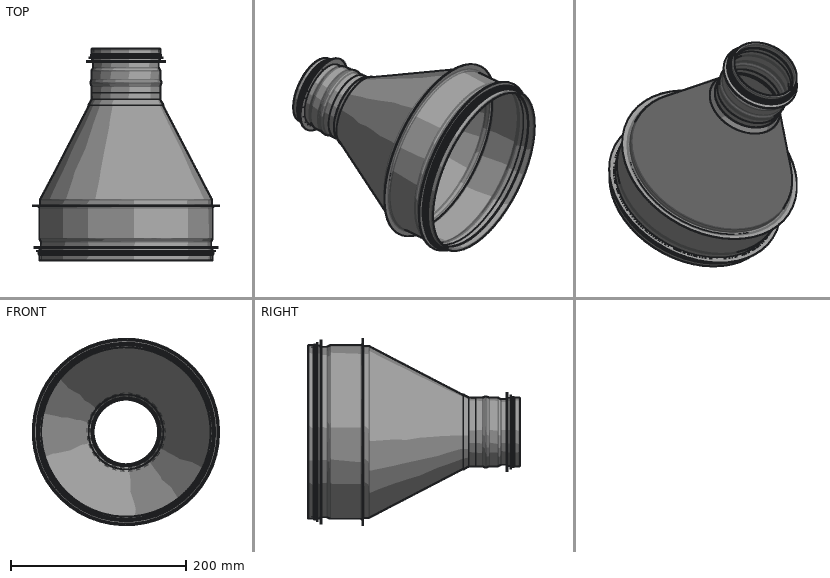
import cadquery as cq
import math


LENGTH = 242.5
WALL = 0.5
BEND = 1.7
LARGE_RADIUS = 199.0 / 2
SMALL_RADIUS = 79.0 / 2

GROOVE_DROP = 1.82
GROOVE_END = 22.0
GROOVE_RAMP_END = 25.2
HEM_RISE_START = 6.3
HEM_RISE_END = 8.0
HEM_END = 10.0
HEM_RISE = 1.0
HEM_STEP = 9.0

GASKET_BASE_DROP = 0.36
GASKET_END = 15.8
THIN_LIP_START = 10.5
THIN_LIP_END = 11.2
THIN_LIP_HEIGHT = 2.7
THICK_LIP_START = 14.3
THICK_LIP_HEIGHT = 5.22

SEAM_RADIUS = 213.5 / 2
SEAM_Y = 62.5
SEAM_BEND = 1.5

CONE_BASE_Y = 69.9
FLARE_END_Y = 177.5
FLARE_START_Y = 184.1
CONE_NECK_END_Y = 192.0
FLARE_RISE = 3.6

BEAD_Y = 203.3
BEAD_HALF_BASE = 4.0
BEAD_HALF_CREST = 0.7
BEAD_HEIGHT = 1.2

SKIRT_RADIUS = LARGE_RADIUS - 2 * WALL
NECK_RADIUS = SMALL_RADIUS - WALL


def revolve(profile):
    """Turn a closed (radius, Y) profile about the Y axis."""
    return profile.close().revolve(360, (0, 0, 0), (0, 1, 0))


def lines(profile, points):
    for point in points:
        profile = profile.lineTo(*point)
    return profile


def bent_line(profile, points):
    """Continue a profile from points[0] through the rest.

    A point is (radius, Y), or (radius, Y, bend radius) for a rounded corner.
    The first and last points are sharp.
    """
    for before, corner, after in zip(points, points[1:], points[2:]):
        if len(corner) == 2:
            profile = profile.lineTo(*corner)
            continue
        vertex = cq.Vector(*corner[:2])
        bend_radius = corner[2]
        backward = (cq.Vector(*before[:2]) - vertex).normalized()
        forward = (cq.Vector(*after[:2]) - vertex).normalized()
        half_angle = backward.getAngle(forward) / 2
        tangent_length = bend_radius / math.tan(half_angle)
        gap_to_arc = bend_radius / math.sin(half_angle) - bend_radius
        start = vertex + backward * tangent_length
        middle = vertex + (backward + forward).normalized() * gap_to_arc
        end = vertex + forward * tangent_length
        profile = profile.lineTo(start.x, start.y)
        profile = profile.threePointArc((middle.x, middle.y), (end.x, end.y))
    return profile.lineTo(*points[-1])


def make_collar(tube_radius, y_at, tail):
    """Sheet-metal collar with a hemmed end.

    y_at turns a depth from the end face into a Y position. tail lists the points of the far
    end, up the inside of the tube and back down its outside.
    """
    bore = tube_radius - WALL
    groove = tube_radius - GROOVE_DROP
    groove_bore = groove - WALL
    hem_bore = groove_bore - WALL
    raised = tube_radius + HEM_RISE
    fold_middle = (tube_radius + hem_bore) / 2
    fold_depth = (tube_radius - hem_bore) / 2
    hidden_step = HEM_STEP - WALL

    profile = cq.Workplane("XY").moveTo(groove, y_at(hidden_step))
    profile = lines(profile, [(groove_bore, y_at(hidden_step)), (groove_bore, y_at(fold_depth))])
    profile = profile.threePointArc((fold_middle, y_at(WALL)), (bore, y_at(fold_depth)))
    profile = lines(profile, [
        (bore, y_at(HEM_RISE_START)),
        (raised - WALL, y_at(HEM_RISE_END)),
        (raised - WALL, y_at(HEM_END)),
        (raised, y_at(HEM_END)),
        (raised, y_at(HEM_RISE_END)),
        (tube_radius, y_at(HEM_RISE_START)),
        (tube_radius, y_at(fold_depth)),
    ])
    profile = profile.threePointArc((fold_middle, y_at(0)), (hem_bore, y_at(fold_depth)))
    return revolve(bent_line(profile, [
        (hem_bore, y_at(fold_depth)),
        (hem_bore, y_at(HEM_STEP)),
        (groove_bore, y_at(HEM_STEP)),
        (groove_bore, y_at(GROOVE_END), BEND),
        (bore, y_at(GROOVE_RAMP_END), BEND),
        *tail,
        (tube_radius, y_at(GROOVE_RAMP_END), BEND),
        (groove, y_at(GROOVE_END), BEND),
        (groove, y_at(hidden_step)),
    ]))


def make_gasket(tube_radius, y_at):
    groove = tube_radius - GROOVE_DROP
    base = tube_radius - GASKET_BASE_DROP
    foot = tube_radius + HEM_RISE - WALL
    thin_lip = tube_radius + THIN_LIP_HEIGHT
    thick_lip = tube_radius + THICK_LIP_HEIGHT
    foot_start = HEM_STEP - WALL
    profile = cq.Workplane("XY").moveTo(groove, y_at(foot_start))
    return revolve(lines(profile, [
        (foot, y_at(foot_start)),
        (foot, y_at(THIN_LIP_START)),
        (thin_lip, y_at(THIN_LIP_START)),
        (thin_lip, y_at(THIN_LIP_END)),
        (base, y_at(THIN_LIP_END)),
        (base, y_at(THICK_LIP_START)),
        (thick_lip, y_at(THICK_LIP_START)),
        (thick_lip, y_at(GASKET_END)),
        (groove, y_at(GASKET_END)),
    ]))


def make_large_collar(y_at):
    """Large tube with an outward flange at the seam."""
    outer_face = SEAM_Y - WALL
    return make_collar(LARGE_RADIUS, y_at, [
        (LARGE_RADIUS - WALL, SEAM_Y, SEAM_BEND + WALL),
        (SEAM_RADIUS, SEAM_Y),
        (SEAM_RADIUS, outer_face),
        (LARGE_RADIUS, outer_face, SEAM_BEND),
    ])


def make_small_collar(y_at):
    """Small tube with a rolled bead and a flare over the top of the cone."""
    tube_line = [
        (0, BEAD_Y + BEAD_HALF_BASE, BEND),
        (BEAD_HEIGHT, BEAD_Y + BEAD_HALF_CREST, BEND),
        (BEAD_HEIGHT, BEAD_Y - BEAD_HALF_CREST, BEND),
        (0, BEAD_Y - BEAD_HALF_BASE, BEND),
        (0, FLARE_START_Y),
        (FLARE_RISE, FLARE_END_Y),
    ]
    inside = [(NECK_RADIUS + height, *rest) for height, *rest in tube_line]
    outside = [(SMALL_RADIUS + height, *rest) for height, *rest in reversed(tube_line)]
    return make_collar(SMALL_RADIUS, y_at, inside + outside)


def make_cone():
    """Cone with a flanged skirt at its base and a neck that enters the small collar."""
    outer_face = SEAM_Y + WALL
    skirt_bore = SKIRT_RADIUS - WALL
    neck_bore = NECK_RADIUS - WALL
    profile = cq.Workplane("XY").moveTo(SEAM_RADIUS, SEAM_Y)
    return revolve(bent_line(profile, [
        (SEAM_RADIUS, SEAM_Y),
        (SEAM_RADIUS, outer_face),
        (SKIRT_RADIUS, outer_face, SEAM_BEND),
        (SKIRT_RADIUS, CONE_BASE_Y, BEND),
        (NECK_RADIUS, FLARE_START_Y),
        (NECK_RADIUS, CONE_NECK_END_Y),
        (neck_bore, CONE_NECK_END_Y),
        (neck_bore, FLARE_START_Y),
        (skirt_bore, CONE_BASE_Y, BEND),
        (skirt_bore, SEAM_Y, SEAM_BEND + WALL),
        (SEAM_RADIUS, SEAM_Y),
    ]))


def from_large_end(depth):
    return depth


def from_small_end(depth):
    return LENGTH - depth


large_collar = make_large_collar(from_large_end)
cone = make_cone()
small_collar = make_small_collar(from_small_end)
gaskets = [
    make_gasket(radius, y_at)
    for radius, y_at in [(LARGE_RADIUS, from_large_end), (SMALL_RADIUS, from_small_end)]
]

result = cq.Compound.makeCompound([
    large_collar.val(),
    cone.val(),
    small_collar.val(),
    *[gasket.val() for gasket in gaskets],
])